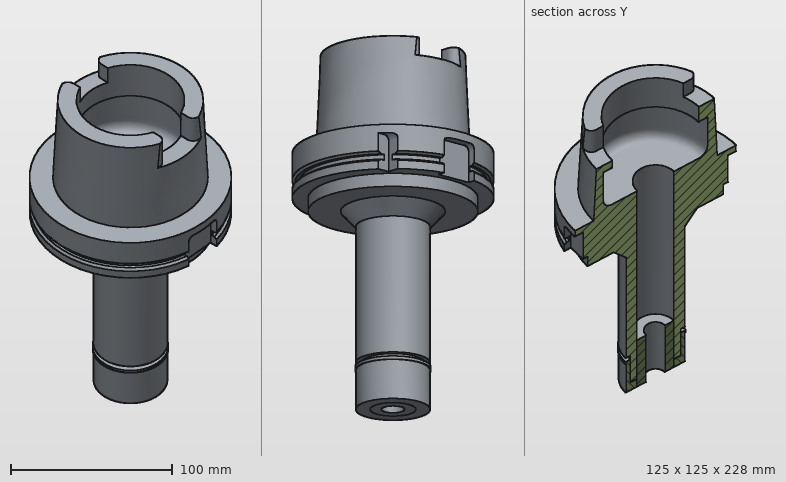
import cadquery as cq
import math


TOTAL_LENGTH = 228.0

TAPER_HEIGHT = 62.7
TAPER_TOP_DIAMETER = 90.0
TAPER_BASE_DIAMETER = 96.0

FLANGE_DIAMETER = 125.0
FLANGE_BOTTOM = -28.7
GROOVE_DIAMETER = 117.2
GROOVE_TOP = -18.5
GROOVE_BOTTOM = -22.0
GROOVE_CHAMFER_HEIGHT = 1.4
GROOVE_CHAMFER_WIDTH = 1.8
COLLAR_DIAMETER = 105.0
COLLAR_BOTTOM = -37.2

CONE_TOP_DIAMETER = 64.8
CONE_BOTTOM = -47.2
BODY_DIAMETER = 46.0
BODY_BOTTOM = -135.2
SPIGOT_DIAMETER = 39.2

NUT_BOTTOM = TAPER_HEIGHT - TOTAL_LENGTH
NUT_HEIGHT = 27.4
NUT_TOP = NUT_BOTTOM + NUT_HEIGHT
NUT_DIAMETER = BODY_DIAMETER
NUT_LIP_DIAMETER = 47.0
NUT_LIP_HEIGHT = 2.0
NUT_END_WALL = 6.8
SPIGOT_BOTTOM = NUT_BOTTOM + NUT_END_WALL

COLLET_DIAMETER = 28.3
COLLET_BORE = 14.4
COLLET_LENGTH = 41.0

MOUTH_DIAMETER = 66.8
MOUTH_DEPTH = 25.3
CHAMBER_DIAMETER = 80.3
CHAMBER_DEPTH = 56.8
CHAMBER_FILLET = 6.5

KEYWAY_WIDTH = 25.0
KEYWAY_REACH = 41.5
KEYWAY_ROUNDING = 5.0
KEYWAY_DEPTH_LEFT = 11.9
KEYWAY_DEPTH_RIGHT = 18.7

SLOT_WIDTH = KEYWAY_WIDTH
SLOT_FLOOR = 56.0
SLOT_TOP = -5.5
SLOT_CORNER = 3.5
NOTCH_X = -40.0
NOTCH_Y = 39.5


def revolve_profile(points):
    """Turn a closed (radius, z) outline about the Z axis."""
    return cq.Workplane("XZ").polyline(points).close().revolve(360, (0, 0, 0), (0, 1, 0))


def cylinder(diameter, bottom, top):
    return cq.Workplane("XY").workplane(offset=bottom).circle(diameter / 2).extrude(top - bottom)


def holder_blank():
    flange_radius = FLANGE_DIAMETER / 2
    groove_radius = GROOVE_DIAMETER / 2
    chamfer_radius = flange_radius - GROOVE_CHAMFER_WIDTH
    return revolve_profile([
        (0, TAPER_HEIGHT),
        (TAPER_TOP_DIAMETER / 2, TAPER_HEIGHT),
        (TAPER_BASE_DIAMETER / 2, 0),
        (flange_radius, 0),
        (flange_radius, GROOVE_TOP + GROOVE_CHAMFER_HEIGHT),
        (chamfer_radius, GROOVE_TOP),
        (groove_radius, GROOVE_TOP),
        (groove_radius, GROOVE_BOTTOM),
        (chamfer_radius, GROOVE_BOTTOM),
        (flange_radius, GROOVE_BOTTOM - GROOVE_CHAMFER_HEIGHT),
        (flange_radius, FLANGE_BOTTOM),
        (COLLAR_DIAMETER / 2, FLANGE_BOTTOM),
        (COLLAR_DIAMETER / 2, COLLAR_BOTTOM),
        (CONE_TOP_DIAMETER / 2, COLLAR_BOTTOM),
        (BODY_DIAMETER / 2, CONE_BOTTOM),
        (BODY_DIAMETER / 2, BODY_BOTTOM),
        (SPIGOT_DIAMETER / 2, BODY_BOTTOM),
        (SPIGOT_DIAMETER / 2, SPIGOT_BOTTOM),
        (0, SPIGOT_BOTTOM),
    ])


def shank_cavity():
    """Mouth and wider chamber, with a fillet between the chamber wall and its floor."""
    mouth = cylinder(MOUTH_DIAMETER, TAPER_HEIGHT - MOUTH_DEPTH, TAPER_HEIGHT)
    chamber = cylinder(CHAMBER_DIAMETER, TAPER_HEIGHT - CHAMBER_DEPTH, TAPER_HEIGHT - MOUTH_DEPTH)
    return mouth.union(chamber.faces("<Z").edges().fillet(CHAMBER_FILLET))


def keyway(side, depth):
    """Rim keyway on the +X (side = 1) or -X (side = -1) side, flaring outwards in two arcs."""
    half = KEYWAY_WIDTH / 2
    flare_start = KEYWAY_REACH - KEYWAY_ROUNDING
    flare_half = half + KEYWAY_ROUNDING
    outer = TAPER_BASE_DIAMETER / 2
    arc_mid = KEYWAY_ROUNDING * math.sin(math.radians(45))
    arc_x = flare_start + arc_mid
    arc_y = flare_half - arc_mid
    return (
        cq.Workplane("XY").workplane(offset=TAPER_HEIGHT - depth)
        .moveTo(0, -half)
        .lineTo(side * flare_start, -half)
        .threePointArc((side * arc_x, -arc_y), (side * KEYWAY_REACH, -flare_half))
        .lineTo(side * KEYWAY_REACH, -outer)
        .lineTo(side * outer, -outer)
        .lineTo(side * outer, outer)
        .lineTo(side * KEYWAY_REACH, outer)
        .lineTo(side * KEYWAY_REACH, flare_half)
        .threePointArc((side * arc_x, arc_y), (side * flare_start, half))
        .lineTo(0, half)
        .close()
        .extrude(depth)
    )


def drive_slot(side):
    """Flat-floored slot in the flange rim with two rounded upper corners."""
    height = SLOT_TOP - FLANGE_BOTTOM
    depth = FLANGE_DIAMETER / 2 - SLOT_FLOOR
    return (
        cq.Workplane("XY")
        .box(depth, SLOT_WIDTH, height, centered=(True, True, False))
        .edges("|X and >Z").fillet(SLOT_CORNER)
        .translate((side * (SLOT_FLOOR + depth / 2), 0, FLANGE_BOTTOM))
    )


def orientation_notch():
    """Notch in the -X +Y quarter of the flange rim with one rounded upper corner."""
    rim = FLANGE_DIAMETER / 2
    return (
        cq.Workplane("XY")
        .box(rim + NOTCH_X, rim - NOTCH_Y, SLOT_TOP - FLANGE_BOTTOM, centered=False)
        .edges("|X and >Z and <Y").fillet(SLOT_CORNER)
        .translate((-rim, NOTCH_Y, FLANGE_BOTTOM))
    )


def make_holder():
    holder = holder_blank().cut(shank_cavity())
    holder = holder.cut(cylinder(COLLET_DIAMETER, SPIGOT_BOTTOM, TAPER_HEIGHT))
    holder = holder.cut(keyway(-1, KEYWAY_DEPTH_LEFT)).cut(keyway(1, KEYWAY_DEPTH_RIGHT))
    for side in (-1, 1):
        holder = holder.cut(drive_slot(side))
    return holder.cut(orientation_notch())


def make_nut():
    """Nut with a lip at its top, a recess for the spigot and a hole for the collet."""
    nut = cylinder(NUT_DIAMETER, NUT_BOTTOM, NUT_TOP)
    nut = nut.union(cylinder(NUT_LIP_DIAMETER, NUT_TOP - NUT_LIP_HEIGHT, NUT_TOP))
    nut = nut.cut(cylinder(SPIGOT_DIAMETER, SPIGOT_BOTTOM, NUT_TOP))
    return nut.cut(cylinder(COLLET_DIAMETER, NUT_BOTTOM, SPIGOT_BOTTOM))


def make_collet():
    """Plain sleeve, flush with the lower end of the nut."""
    collet_top = NUT_BOTTOM + COLLET_LENGTH
    sleeve = cylinder(COLLET_DIAMETER, NUT_BOTTOM, collet_top)
    return sleeve.cut(cylinder(COLLET_BORE, NUT_BOTTOM, collet_top))


holder = make_holder()
nut = make_nut()
collet = make_collet()

result = cq.Compound.makeCompound([holder.val(), nut.val(), collet.val()])